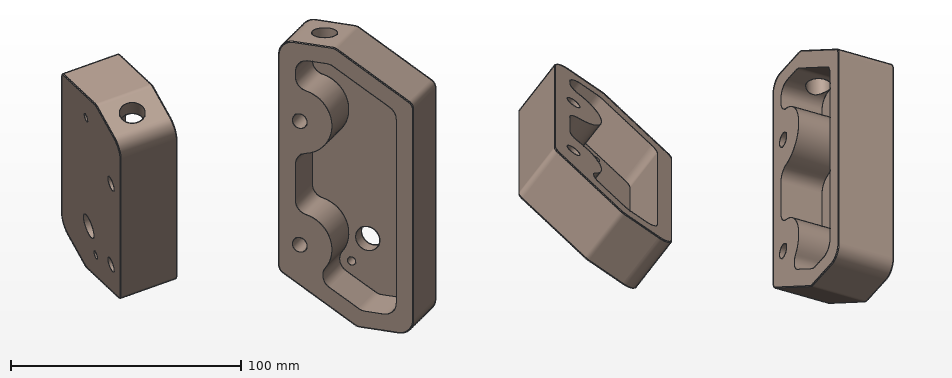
import cadquery as cq
import math

width = 63.0
thickness = 27.0
height = 129.76
slope_angle = 30.0
flat_length = 26.3
square_corner_radius = 7.0
cut_corner_radius = 4.0
face_chamfer = 0.4

pin_hole_diameter = 3.8
pin_hole_x = 5.2
pin_hole_z = -43.2
screw_hole_diameter = 6.8
screw_hole_x = 21.5
screw_hole_heights = (27.9, -30.3)
port_diameter = 11.2
front_port_x = -2.3
front_port_z = -31.5

top_port_x = 15.5
top_port_y = -0.7

wall = 8.0
front_plate = 7.0
pocket_corner_radius = 6.0
boss_radius = 15.0

half_width = width / 2
half_height = height / 2
front_y = -thickness / 2
back_y = thickness / 2
slope_drop = (width - flat_length) * math.tan(math.radians(slope_angle))

square_corners = [
    (-half_width, -half_height),
    (half_width, half_height),
]
cut_corners = [
    (-half_width + flat_length, -half_height),
    (half_width, -half_height + slope_drop),
    (half_width - flat_length, half_height),
    (-half_width, half_height - slope_drop),
]
outline = [square_corners[0], *cut_corners[:2], square_corners[1], *cut_corners[2:]]


def bar_along_y(sketch, start_y, end_y):
    """Extrude a closed XZ sketch, drawn on the plane Y = 0, from start_y to end_y."""
    return sketch.extrude(start_y - end_y).translate((0, start_y, 0))


def cylinder_along_y(x, z, diameter):
    sketch = cq.Workplane("XZ").center(x, z).circle(diameter / 2)
    return bar_along_y(sketch, front_y, back_y)


def round_corners(body, corners, radius):
    """Round the Y-parallel edges that pass through the given (x, z) corners."""
    for x, z in corners:
        body = body.edges(cq.selectors.NearestToPointSelector((x, 0, z))).fillet(radius)
    return body


def make_block():
    block = bar_along_y(cq.Workplane("XZ").polyline(outline).close(), front_y, back_y)
    block = round_corners(block, square_corners, square_corner_radius)
    block = round_corners(block, cut_corners, cut_corner_radius)
    return block.faces("<Y or >Y").chamfer(face_chamfer)


def make_pocket():
    sketch = cq.Workplane("XZ").polyline(outline).close().offset2D(-wall, "intersection")
    pocket = bar_along_y(sketch, front_y + front_plate, back_y)
    for z in screw_hole_heights:
        pocket = pocket.cut(cylinder_along_y(screw_hole_x, z, 2 * boss_radius))
    return pocket.edges("|Y").fillet(pocket_corner_radius)


def make_top_port():
    port_length = 2 * wall
    mouth = cq.Workplane("XY", origin=(top_port_x, top_port_y, half_height))
    return mouth.circle(port_diameter / 2).extrude(-port_length)


def make_front_holes():
    holes = cylinder_along_y(front_port_x, front_port_z, port_diameter)
    for side in (1, -1):
        holes = holes.add(cylinder_along_y(side * pin_hole_x, side * pin_hole_z, pin_hole_diameter))
    for z in screw_hole_heights:
        holes = holes.add(cylinder_along_y(screw_hole_x, z, screw_hole_diameter))
    return holes.combine()


result = make_block().cut(make_pocket()).cut(make_top_port()).cut(make_front_holes())